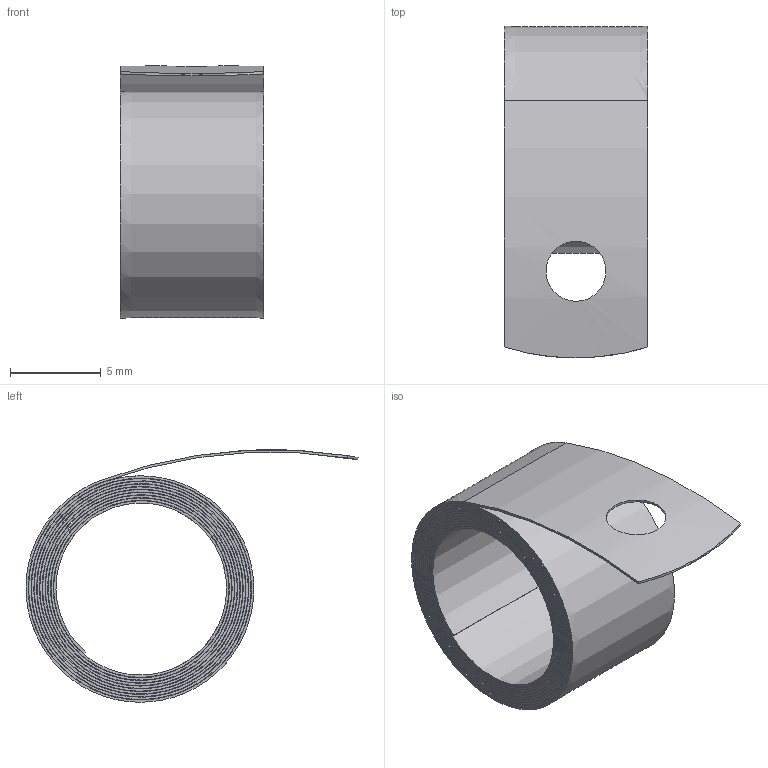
import math

import cadquery as cq


strip_width = 7.92
strip_thickness = 0.127

coil_pitch = 0.1524
coil_outer_radius = 6.34
coil_turns = 10.33
departure_angle = math.radians(69.7)
points_per_turn = 24

tail_radius = 27.1
tip_reach = 11.97

hole_diameter = 3.3
tip_corner_setback = 0.6
cut_depth = 50.0


def polar(radius, angle):
    """Point in the YZ plane at a radius and an angle about the coil axis."""
    return radius * math.cos(angle), radius * math.sin(angle)


def spiral_point(turns_inward, depth):
    """Point on the spiral, counted back from the departure and sunk below the outer surface."""
    radius = coil_outer_radius - coil_pitch * turns_inward - depth
    return polar(radius, departure_angle - 2 * math.pi * turns_inward)


def spiral_edge(depth):
    """Whole spiral curve of one strip surface, from the inner end out to the departure."""
    steps = round(coil_turns * points_per_turn)
    turns = [coil_turns * (steps - i) / steps for i in range(steps + 1)]
    points = [cq.Vector(*spiral_point(t, depth), 0) for t in turns]
    return cq.Edge.makeSpline(points)


centre_offset = tail_radius - coil_outer_radius
tail_centre_y = -centre_offset * math.cos(departure_angle)
tail_centre_z = -centre_offset * math.sin(departure_angle)
tip_angle = math.acos((-tip_reach - tail_centre_y) / tail_radius)


def tail_point(angle, depth):
    """Point on the tail arc, sunk below the outer surface."""
    y, z = polar(tail_radius - depth, angle)
    return cq.Vector(tail_centre_y + y, tail_centre_z + z, 0)


def tail_edge(depth):
    """Tail arc of one strip surface, from the departure to the tip."""
    return cq.Edge.makeThreePointArc(
        tail_point(departure_angle, depth),
        tail_point((departure_angle + tip_angle) / 2, depth),
        tail_point(tip_angle, depth),
    )


def wound_strip():
    """Strip of full width with a square-cut tip."""
    outer_spiral = spiral_edge(0)
    inner_spiral = spiral_edge(strip_thickness)
    outer_tail = tail_edge(0)
    inner_tail = tail_edge(strip_thickness)
    inner_end = cq.Edge.makeLine(inner_spiral.startPoint(), outer_spiral.startPoint())
    tip_end = cq.Edge.makeLine(outer_tail.endPoint(), inner_tail.endPoint())
    outline = cq.Wire.assembleEdges(
        [inner_end, outer_spiral, outer_tail, tip_end, inner_tail, inner_spiral]
    )
    face = cq.Face.makeFromWires(outline)
    plane = cq.Plane(origin=(-strip_width / 2, 0, 0), xDir=(0, 1, 0), normal=(1, 0, 0))
    strip = cq.Solid.extrudeLinear(face, cq.Vector(0, 0, strip_width))
    return cq.Workplane(strip.moved(cq.Location(plane)))


def tip_trim():
    """Material outside the rounded tip, cut along Z, above the coil axis."""
    half_width = strip_width / 2
    corner_y = -tip_reach + tip_corner_setback
    beyond_y = -2 * tip_reach
    return (
        cq.Workplane("XY")
        .moveTo(-half_width, corner_y)
        .threePointArc((0, -tip_reach), (half_width, corner_y))
        .lineTo(half_width, beyond_y)
        .lineTo(-half_width, beyond_y)
        .close()
        .extrude(cut_depth)
    )


def tail_hole():
    """Round hole at the highest point of the tail, cut through the tail only."""
    return (
        cq.Workplane("XY", origin=(0, tail_centre_y, coil_outer_radius))
        .circle(hole_diameter / 2)
        .extrude(cut_depth)
    )


result = wound_strip().cut(tip_trim()).cut(tail_hole())